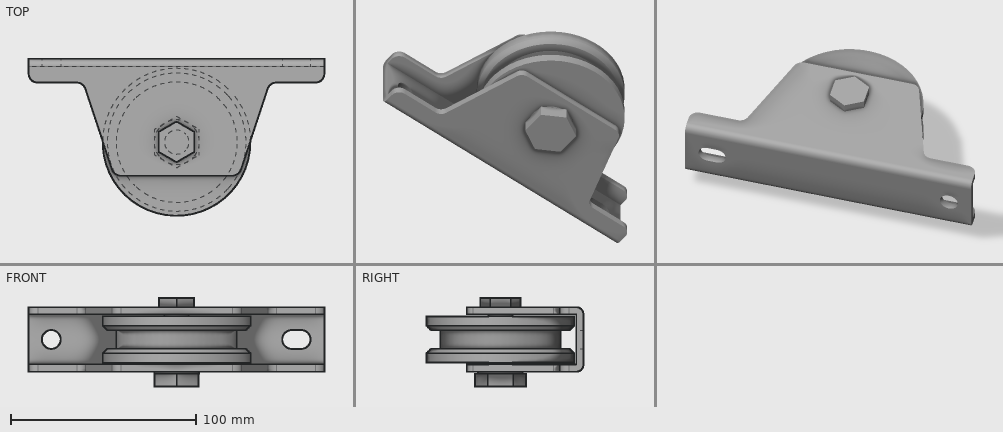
import cadquery as cq
import math

length = 160.0
bracket_height = 35.0
thickness = 4.0
bend_radius = 4.0
ear_depth = 13.0
flange_depth = 63.2
flange_root_half_width = 50.4
flange_tip_half_width = 33.8
corner_radius = 5.0

hole_diameter = 10.0
hole_end_distance = 12.3
slot_length = 15.2
slot_end_distance = 15.2

axle_y = -45.0
wheel_radius = 40.0
wheel_width = 25.0
groove_radius = 32.6
groove_width = 10.0
rim_chamfer = 2.5
axle_diameter = 13.1

head_flats = 19.0
head_height = 5.0
nut_flats = 24.0
nut_height = 7.0
washer_diameter = 24.3
washer_thickness = 1.0

half_height = bracket_height / 2


def make_bracket():
    half_length = length / 2
    outline = [
        (-half_length, 0),
        (-half_length, -ear_depth),
        (-flange_root_half_width, -ear_depth),
        (-flange_tip_half_width, -flange_depth),
        (flange_tip_half_width, -flange_depth),
        (flange_root_half_width, -ear_depth),
        (half_length, -ear_depth),
        (half_length, 0),
    ]
    block = (
        cq.Workplane("XY").workplane(offset=-half_height)
        .polyline(outline).close().extrude(bracket_height)
    )
    front_edges = cq.selectors.BoxSelector(
        (-length, -length, -length), (length, -ear_depth / 2, length)
    )
    block = block.edges("|Z").edges(front_edges).fillet(corner_radius)
    block = block.edges("|X and >Y").fillet(bend_radius)

    interior = cq.Workplane("XY").box(
        length, flange_depth, bracket_height - 2 * thickness
    ).translate((0, -thickness - flange_depth / 2, 0))
    block = block.cut(interior)

    hole = (
        cq.Workplane("XZ").center(-half_length + hole_end_distance, 0)
        .circle(hole_diameter / 2).extrude(thickness)
    )
    slot = (
        cq.Workplane("XZ").center(half_length - slot_end_distance, 0)
        .slot2D(slot_length, hole_diameter).extrude(thickness)
    )
    return block.cut(hole).cut(slot)


def make_wheel():
    half_width = wheel_width / 2
    half_groove = groove_width / 2
    profile = [
        (0, -half_width),
        (wheel_radius, -half_width),
        (wheel_radius, -half_groove - rim_chamfer),
        (wheel_radius - rim_chamfer, -half_groove),
        (groove_radius, -half_groove),
        (groove_radius, half_groove),
        (wheel_radius - rim_chamfer, half_groove),
        (wheel_radius, half_groove + rim_chamfer),
        (wheel_radius, half_width),
        (0, half_width),
    ]
    wheel = cq.Workplane("XZ").polyline(profile).close().revolve(360, (0, 0), (0, 1))
    return wheel.translate((0, axle_y, 0))


def make_cylinder(diameter, bottom, height):
    return (
        cq.Workplane("XY").workplane(offset=bottom).center(0, axle_y)
        .circle(diameter / 2).extrude(height)
    )


def make_hexagon(across_flats, bottom, height):
    """Hexagonal prism on the axle with its flats facing +X and -X."""
    across_corners = across_flats / math.cos(math.pi / 6)
    prism = (
        cq.Workplane("XY").workplane(offset=bottom)
        .polygon(6, across_corners).extrude(height)
    )
    return prism.rotate((0, 0, 0), (0, 0, 1), 90).translate((0, axle_y, 0))


axle = make_cylinder(axle_diameter, -half_height, bracket_height)
head = make_hexagon(head_flats, half_height, head_height)
washer_bottom = -half_height - washer_thickness
washer = make_cylinder(washer_diameter, washer_bottom, washer_thickness)
nut = make_hexagon(nut_flats, washer_bottom - nut_height, nut_height)

result = make_bracket()
for component in (make_wheel(), axle, head, washer, nut):
    result = result.union(component)